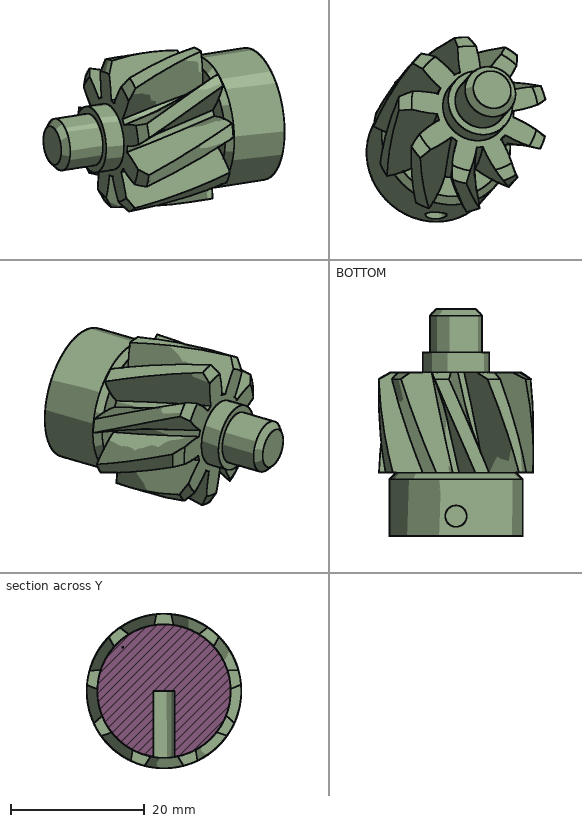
import cadquery as cq
import math


COLLAR_RADIUS = 20 / 2
COLLAR_LENGTH = 9.5
COLLAR_CHAMFER = 1.0

SCREW_HOLE_RADIUS = 3.2 / 2
SCREW_HOLE_Y = -3.0
SCREW_HOLE_DEPTH = COLLAR_RADIUS

TOOTH_COUNT = 9
NORMAL_MODULE = 2.0
HELIX_ANGLE = math.radians(20)
PINION_LENGTH = 15.0
PITCH_RADIUS = TOOTH_COUNT * NORMAL_MODULE / math.cos(HELIX_ANGLE) / 2
TIP_RADIUS = PITCH_RADIUS + NORMAL_MODULE
ROOT_RADIUS = 6.0
TWIST_DEGREES = math.degrees(PINION_LENGTH * math.tan(HELIX_ANGLE) / PITCH_RADIUS)
FIRST_TOOTH_ANGLE = 17.2
ROOT_HALF_WIDTH = 1.6
PITCH_HALF_WIDTH = 1.48
TIP_HALF_WIDTH = 1.09
TIP_CHAMFER_LENGTH = 1.0
TIP_CHAMFER_ANGLE = math.radians(60)
BLANK_CLEARANCE = 0.5

SHOULDER_RADIUS = 10 / 2
SHOULDER_LENGTH = 3.0
PIN_RADIUS = 7.85 / 2
PIN_LENGTH = 6.5
PIN_CHAMFER = 1.0

PINION_BACK_Y = -COLLAR_LENGTH
PINION_FRONT_Y = PINION_BACK_Y - PINION_LENGTH
SHOULDER_FRONT_Y = PINION_FRONT_Y - SHOULDER_LENGTH


def plane_across_axis(y):
    """Workplane across the shaft at y, extruding towards the back (+Y) with local y along -Z."""
    return cq.Workplane(cq.Plane(origin=(0, y, 0), xDir=(1, 0, 0), normal=(0, 1, 0)))


def cylinder(front_y, radius, length):
    return plane_across_axis(front_y).circle(radius).extrude(length)


def tooth_point(tooth_angle, radius, half_width):
    """Point on a flank at a given radius; a negative half width gives the opposite flank."""
    angle = tooth_angle + math.asin(half_width / radius)
    return radius * math.cos(angle), radius * math.sin(angle)


def make_tooth_section(tooth_angle):
    """Cross section of one tooth at the front face, starting at the axis."""
    def flank(side):
        return [
            tooth_point(tooth_angle, ROOT_RADIUS, side * ROOT_HALF_WIDTH),
            tooth_point(tooth_angle, PITCH_RADIUS, side * PITCH_HALF_WIDTH),
            tooth_point(tooth_angle, TIP_RADIUS, side * TIP_HALF_WIDTH),
        ]

    root_a, pitch_a, tip_a = flank(-1)
    root_b, pitch_b, tip_b = flank(1)
    tip_middle = tooth_point(tooth_angle, TIP_RADIUS, 0)
    return (
        plane_across_axis(PINION_FRONT_Y)
        .moveTo(0, 0)
        .lineTo(*root_a)
        .threePointArc(pitch_a, tip_a)
        .threePointArc(tip_middle, tip_b)
        .threePointArc(pitch_b, root_b)
        .close()
    )


def make_pinion():
    pinion = cylinder(PINION_FRONT_Y, ROOT_RADIUS, PINION_LENGTH)
    for index in range(TOOTH_COUNT):
        tooth_angle = -math.radians(FIRST_TOOTH_ANGLE + index * 360 / TOOTH_COUNT)
        tooth = make_tooth_section(tooth_angle).twistExtrude(PINION_LENGTH, -TWIST_DEGREES)
        pinion = pinion.union(tooth)
    return pinion.intersect(make_chamfered_blank())


def make_chamfered_blank():
    """Cylinder just clear of the tooth tips, with a cone on its front end."""
    chamfer_depth = TIP_CHAMFER_LENGTH * math.tan(TIP_CHAMFER_ANGLE)
    cone_length = TIP_CHAMFER_LENGTH + BLANK_CLEARANCE / math.tan(TIP_CHAMFER_ANGLE)
    return (
        cq.Workplane("XY")
        .moveTo(0, PINION_FRONT_Y)
        .lineTo(TIP_RADIUS - chamfer_depth, PINION_FRONT_Y)
        .lineTo(TIP_RADIUS + BLANK_CLEARANCE, PINION_FRONT_Y + cone_length)
        .lineTo(TIP_RADIUS + BLANK_CLEARANCE, PINION_BACK_Y)
        .lineTo(0, PINION_BACK_Y)
        .close()
        .revolve(360, (0, 0, 0), (0, 1, 0))
    )


def make_collar():
    collar = cylinder(PINION_BACK_Y, COLLAR_RADIUS, COLLAR_LENGTH)
    collar = collar.faces("<Y").chamfer(COLLAR_CHAMFER)
    screw_hole = (
        cq.Workplane("XY", origin=(0, SCREW_HOLE_Y, -COLLAR_RADIUS))
        .circle(SCREW_HOLE_RADIUS)
        .extrude(SCREW_HOLE_DEPTH)
    )
    return collar.cut(screw_hole)


def make_pin():
    pin = cylinder(SHOULDER_FRONT_Y - PIN_LENGTH, PIN_RADIUS, PIN_LENGTH)
    return pin.faces("<Y").chamfer(PIN_CHAMFER)


shoulder = cylinder(PINION_FRONT_Y, SHOULDER_RADIUS, -SHOULDER_LENGTH)
result = make_collar().union(make_pinion()).union(shoulder).union(make_pin())